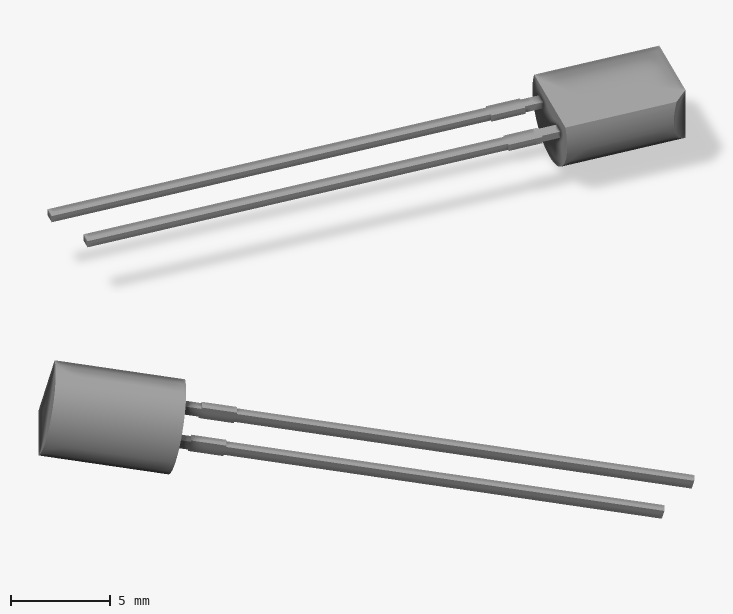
import cadquery as cq
import math


TOTAL_LENGTH = 33.0

HOUSING_RADIUS = 2.5
HOUSING_LENGTH = 6.7
FLAT_HEIGHT = 1.1
CORNER_CHAMFER = 1.0

LEAD_PITCH = 2.5
LEAD_WIDTH = 0.6
LEAD_THICKNESS = 0.4
LEAD_CENTRE_HEIGHT = 0.1
LEAD_STEP = 1.0
LONG_LEAD_LENGTH = TOTAL_LENGTH - HOUSING_LENGTH
SHORT_LEAD_LENGTH = LONG_LEAD_LENGTH - LEAD_STEP

COLLAR_WIDTH = 0.8
COLLAR_LENGTH = 1.8
COLLAR_GAP = 1.0


def make_housing():
    """Round bar with a flat top and one bevelled back corner."""
    flat_half_width = math.sqrt(HOUSING_RADIUS**2 - FLAT_HEIGHT**2)
    bar = (
        cq.Workplane("XZ")
        .moveTo(-flat_half_width, FLAT_HEIGHT)
        .threePointArc((0, -HOUSING_RADIUS), (flat_half_width, FLAT_HEIGHT))
        .close()
        .extrude(-HOUSING_LENGTH)
    )
    corner_wedge = (
        cq.Workplane("XY")
        .moveTo(HOUSING_RADIUS - CORNER_CHAMFER, HOUSING_LENGTH)
        .lineTo(HOUSING_RADIUS, HOUSING_LENGTH)
        .lineTo(HOUSING_RADIUS, HOUSING_LENGTH - CORNER_CHAMFER)
        .close()
        .extrude(HOUSING_RADIUS, both=True)
    )
    return bar.cut(corner_wedge)


def make_lead(centre_x, length):
    """Flat strip with a collar, butting against the housing face."""
    strip = cq.Workplane("XY").box(LEAD_WIDTH, length, LEAD_THICKNESS).translate((0, -length / 2, 0))
    collar_centre_y = -COLLAR_GAP - COLLAR_LENGTH / 2
    collar = (
        cq.Workplane("XY")
        .box(COLLAR_WIDTH, COLLAR_LENGTH, LEAD_THICKNESS)
        .translate((0, collar_centre_y, 0))
    )
    return strip.union(collar).clean().translate((centre_x, 0, LEAD_CENTRE_HEIGHT))


housing = make_housing()

lead_layout = [
    (-LEAD_PITCH / 2, LONG_LEAD_LENGTH),
    (LEAD_PITCH / 2, SHORT_LEAD_LENGTH),
]
leads = [make_lead(centre_x, length) for centre_x, length in lead_layout]

result = cq.Compound.makeCompound([housing.val(), *[lead.val() for lead in leads]])